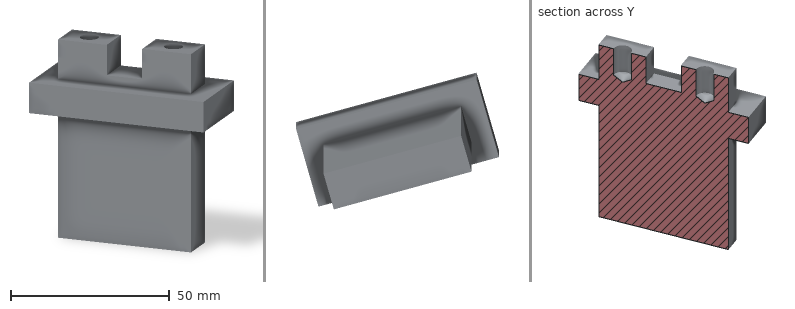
import cadquery as cq
import math

blade_length = 45.0
blade_width = 12.0
blade_below_flange = 42.0

flange_length = 59.0
flange_width = 26.0
flange_thickness = 10.0

head_height = 13.0
slot_length = 12.0
slot_depth = 10.0

hole_diameter = 6.0
hole_depth = 10.0
drill_point_angle = 118.0

total_height = blade_below_flange + flange_thickness + head_height
post_center = (slot_length + blade_length) / 4


def centered_block(length, width, height, bottom):
    """Block centred on the Z axis, standing on the given level."""
    return (
        cq.Workplane("XY")
        .workplane(offset=bottom)
        .rect(length, width)
        .extrude(height)
    )


def drilled_hole(x):
    """Blind hole with a conical drill point, entering from the top face."""
    radius = hole_diameter / 2
    point_height = radius / math.tan(math.radians(drill_point_angle / 2))
    floor = total_height - hole_depth
    return (
        cq.Workplane("XZ")
        .moveTo(0, total_height)
        .lineTo(radius, total_height)
        .lineTo(radius, floor)
        .lineTo(0, floor - point_height)
        .close()
        .revolve(360, (0, 0, 0), (0, 1, 0))
        .translate((x, 0, 0))
    )


blade = centered_block(blade_length, blade_width, total_height, 0)
flange = centered_block(flange_length, flange_width, flange_thickness, blade_below_flange)
slot = centered_block(slot_length, blade_width, slot_depth, total_height - slot_depth)

result = blade.union(flange).cut(slot)
for side in (-1, 1):
    result = result.cut(drilled_hole(side * post_center))